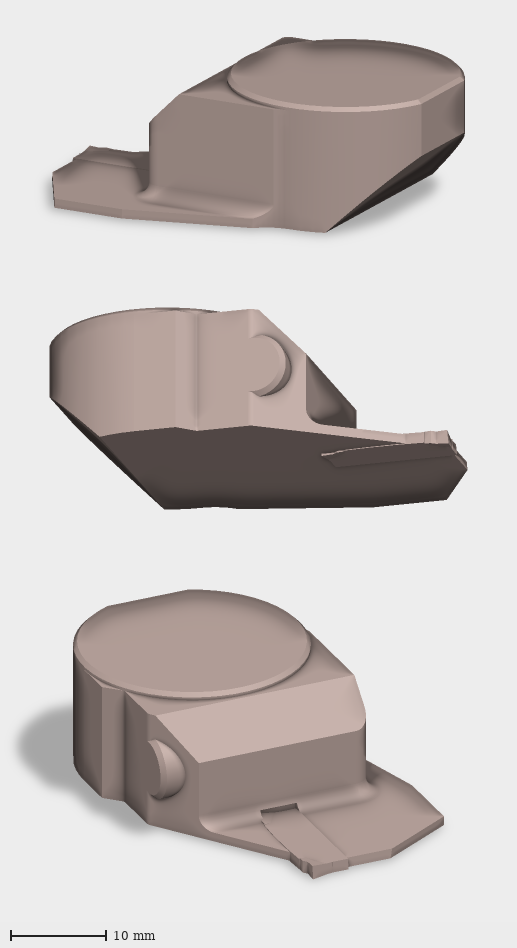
import cadquery as cq
import math


cap_radius = 12.5
cap_top = 13.75
cap_chamfer = 0.42
flat_x = 11.55
undercut_size = 7.62

block_left = -17.28
block_front = -12.8
block_back = 10.7
block_top = 13.0
block_corner_radius = 1.75
block_bevel = 4.28
foot_fillet = 1.52

plate_thickness = 1.0
plate_left = -30.1
plate_left_end_y = -9.1
plate_front = -17.5
plate_front_left_x = -25.33
plate_front_right_x = -17.28
plate_edge_lean = 0.15
neck_radius = cap_radius * 0.4
neck_start_x = -3.55
step_x = -4.57
step_size = cap_radius - block_back
slant_top_x = -12.3
back_corner_radius = 1.0
slant_slope = 0.716

boss_radius = 3.47
boss_x = -cap_radius
boss_z = 6.78
boss_chamfer = 0.5
boss_length = 5.95

insert_left = -30.8
insert_right = -16.85
insert_center = (insert_left + insert_right) / 2
insert_front = -4.1
insert_bend_y = -2.35
insert_taper = 0.3
insert_bottom = -0.1
insert_top = 1.1
insert_end_lean = 0.15
corner_y = 0.13
tab_y = 0.5
dome_edge_y = 0.6
dome_top_y = 0.75
tab_ramp_start = 1.35
tab_ramp_end = 1.8
dome_start = 2.55
tip_rise = 0.15
tip_ramp_length = 1.65
tip_diagonal_inset = 0.45
tip_diagonal_y = -1.52
tip_diagonal_angle = math.degrees(math.atan2(2.9, 4.5))
pocket_top = 1.8

over = 2.1


def wedge_y(points):
    """Prism with an XZ profile, running through the whole part along Y."""
    return cq.Workplane("XZ").polyline(points).close().extrude(2 * cap_radius, both=True)


def body_outline():
    """Plan outline shared by the plate, the block and the shank."""
    neck_center_y = -cap_radius - neck_radius

    def neck_y(x):
        return neck_center_y + math.sqrt(neck_radius**2 - x**2)

    slant_end_y = block_back - slant_slope * (slant_top_x - plate_left)
    neck_middle_x = neck_start_x / 2
    return (
        cq.Workplane("XY")
        .moveTo(plate_left, slant_end_y)
        .lineTo(plate_left, plate_left_end_y)
        .lineTo(plate_front_left_x, plate_front)
        .lineTo(plate_front_right_x, plate_front)
        .lineTo(neck_start_x, neck_y(neck_start_x))
        .threePointArc((neck_middle_x, neck_y(neck_middle_x)), (0, -cap_radius))
        .threePointArc((cap_radius, 0), (0, cap_radius))
        .lineTo(step_x, cap_radius)
        .lineTo(step_x - step_size, block_back)
        .lineTo(slant_top_x, block_back)
        .close()
    )


def block_on_plate():
    """Block and plate with a filleted foot, trimmed to the body outline."""
    plate_start_x = plate_left - over
    plate_start_y = plate_front - over
    end_x = over
    end_y = cap_radius + over
    plate = cq.Workplane("XY").box(
        end_x - plate_start_x, end_y - plate_start_y, plate_thickness, centered=False
    ).translate((plate_start_x, plate_start_y, 0))
    block = cq.Workplane("XY").box(
        end_x - block_left, end_y - block_front, block_top, centered=False
    ).translate((block_left, block_front, 0))
    block = block.edges("|Z").edges("<X").edges("<Y").fillet(block_corner_radius)
    margin = 0.05
    foot_edges = cq.selectors.BoxSelector(
        (block_left - margin, block_front - margin, plate_thickness - margin),
        (end_x - margin, end_y - margin, plate_thickness + margin),
    )
    body = plate.union(block).edges(foot_edges).fillet(foot_fillet)
    bevel = wedge_y([
        (block_left - over, block_top - block_bevel - over),
        (block_left + block_bevel + over, block_top + over),
        (block_left - over, block_top + over),
    ])
    outline_prism = body_outline().extrude(block_top)
    corner_point = (slant_top_x, block_back, block_top / 2)
    back_corner = cq.selectors.NearestToPointSelector(corner_point)
    outline_prism = outline_prism.edges("|Z").edges(back_corner).fillet(back_corner_radius)
    return body.cut(bevel).intersect(outline_prism)


def shank():
    """Round shank and cap with a flat, a top chamfer and a relief below."""
    flat_cut = cq.Workplane("XY").box(
        2 * over, 2 * cap_radius, cap_top, centered=(False, True, False)
    ).translate((flat_x, 0, 0))
    body = cq.Workplane("XY").circle(cap_radius).extrude(cap_top).cut(flat_cut)
    body = body.faces(">Z").edges().chamfer(cap_chamfer)
    undercut = wedge_y([
        (flat_x - undercut_size - over, -over),
        (flat_x + over, undercut_size + over),
        (flat_x + over, -over),
    ])
    return body.cut(undercut)


def boss():
    """Chamfered cylinder along Y, level with the back of the block."""
    return (
        cq.Workplane("XZ", origin=(boss_x, block_back, boss_z))
        .circle(boss_radius)
        .extrude(boss_length)
        .faces(">Y")
        .chamfer(boss_chamfer)
    )


def insert_outline():
    """Plan outline of the insert, symmetric about its middle."""
    half_side = [
        (0, corner_y),
        (tab_ramp_start, corner_y),
        (tab_ramp_end, tab_y),
        (dome_start, tab_y),
        (dome_start, dome_edge_y),
    ]
    left = [(insert_taper, insert_front), (insert_taper, insert_bend_y)] + half_side
    left_points = [(insert_left + inset, y) for inset, y in left]
    right_points = [(insert_right - inset, y) for inset, y in reversed(left)]
    outline = cq.Workplane("XY").polyline(left_points)
    outline = outline.threePointArc((insert_center, dome_top_y), right_points[0])
    for point in right_points[1:]:
        outline = outline.lineTo(*point)
    return outline.close()


def left_tip():
    """Left cutting tip, flaring above and below the main faces."""
    foot_x = insert_left + tip_diagonal_inset
    ramp = (
        cq.Workplane("YZ")
        .polyline([
            (0, insert_bottom),
            (tip_ramp_length, insert_bottom - tip_rise),
            (tip_ramp_length, insert_top + tip_rise),
            (0, insert_top),
        ])
        .close()
        .extrude(2 * over, both=True)
        .rotate((0, 0, 0), (0, 0, 1), tip_diagonal_angle)
        .translate((foot_x, tip_diagonal_y, 0))
    )
    tip_end_x = insert_left + dome_start
    tip_zone = cq.Workplane("XY").box(
        tip_end_x - insert_left, 2 * over, 2 * over, centered=(False, True, True)
    ).translate((insert_left, 0, 0))
    outline_prism = insert_outline().extrude(over, both=True)
    return ramp.intersect(tip_zone).intersect(outline_prism)


def left_end_relief():
    """Thin wedges that lean both parts of the left side inward toward the top."""
    edge_x = insert_left + insert_taper
    taper_angle = math.degrees(math.atan2(insert_taper, corner_y - insert_bend_y))
    low = insert_bottom - tip_rise
    high = insert_top + tip_rise
    profile = [(0, low), (insert_end_lean, high), (-over, high), (-over, low)]
    straight = cq.Workplane("XZ").polyline(profile).close().extrude(2 * over)
    tapered = cq.Workplane("XZ").polyline(profile).close().extrude(-2 * over)
    tapered = tapered.rotate((0, 0, 0), (0, 0, 1), taper_angle)
    return straight.union(tapered).translate((edge_x, insert_bend_y, 0))


def mirrored(shape):
    """Copy of a shape on the other side of the middle of the insert."""
    return shape.mirror("YZ", (insert_center, 0, 0))


def make_insert():
    """Double-ended cutting insert."""
    body = insert_outline().extrude(insert_top - insert_bottom).translate((0, 0, insert_bottom))
    tip = left_tip()
    relief = left_end_relief()
    body = body.union(tip).union(mirrored(tip))
    return body.cut(relief).cut(mirrored(relief))


def make_holder():
    """Plate, block, shank and boss with an open pocket for the insert."""
    body = block_on_plate().union(shank()).union(boss())
    edge_lean = wedge_y([
        (plate_left, 0),
        (plate_left + plate_edge_lean, plate_thickness),
        (plate_left, plate_thickness),
    ])
    pocket = insert_outline().extrude(pocket_top + over).translate((0, 0, -over))
    return body.cut(edge_lean).cut(pocket)


holder = make_holder()
insert = make_insert()

result = cq.Compound.makeCompound([holder.val(), insert.val()])